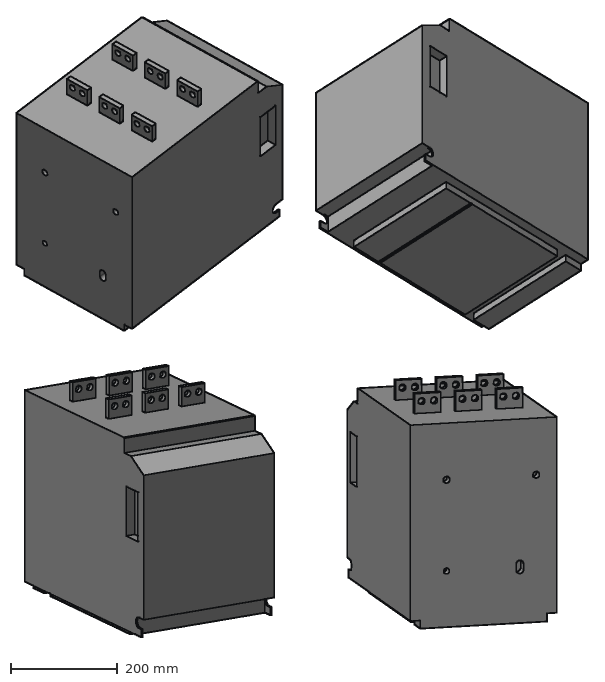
import cadquery as cq


width = 285.0
depth = 435.0
body_bottom = 15.5
body_top = 390.0

slope_bottom = 334.5
slope_end = 388.5
shelf_height = 360.0
step_wall = 364.5
bevel_run = 2.5
bevel_rise = 1.5

notch_radius = 10.5
notch_height = 41.8
notch_centre = 416.7
lip_end = 426.0
side_plate_thickness = 3.5

foot_inset = 19.0
foot_width = width - 2 * foot_inset
front_foot_end = 40.0
rear_foot_start = 62.0
rear_foot_end = 353.5

groove_centre = 286.5
groove_width = 4.0
groove_depth = 1.5

tab_top = 428.0
tab_width = 50.5
tab_thickness = 10.5
tab_pitch = 79.5
tab_row_fronts = (102.2, 233.5)
tab_hole_diameter = 12.5
tab_hole_pitch = 24.5
tab_hole_height = 413.2

mount_depth = 20.0
mount_left = -72.0
mount_right = 102.2
mount_low = 107.5
mount_high = 282.0
upper_hole_diameter = 12.5
lower_hole_diameter = 11.0
mount_slot_x = 70.5
mount_slot_width = 14.5
mount_slot_height = 25.2

pocket_front = 370.5
pocket_length = 43.5
pocket_bottom = 199.5
pocket_height = 96.5
pocket_depth = 19.0


def block(size_x, y_start, y_end, z_start, z_end):
    """Box centred on X = 0 between the given Y and Z limits."""
    size_y = y_end - y_start
    size_z = z_end - z_start
    return (
        cq.Workplane("XY")
        .box(size_x, size_y, size_z, centered=(True, False, False))
        .translate((0, y_start, z_start))
    )


def front_plane(y=0.0):
    """Sketch plane facing -Y at the given Y; negative extrusions run towards +Y."""
    return cq.Workplane(cq.Plane(origin=(0, y, 0), xDir=(1, 0, 0), normal=(0, -1, 0)))


def make_housing():
    """Side profile in Y and Z, extruded over the full width."""
    notch_low = notch_height - notch_radius
    notch_high = notch_height + notch_radius
    return (
        cq.Workplane("YZ")
        .moveTo(0, body_bottom)
        .lineTo(lip_end, body_bottom)
        .lineTo(lip_end, notch_low)
        .lineTo(notch_centre, notch_low)
        .threePointArc((notch_centre - notch_radius, notch_height), (notch_centre, notch_high))
        .lineTo(depth, notch_high)
        .lineTo(depth, slope_bottom)
        .lineTo(slope_end, shelf_height)
        .lineTo(step_wall, shelf_height)
        .lineTo(step_wall, body_top - bevel_rise)
        .lineTo(step_wall - bevel_run, body_top)
        .lineTo(0, body_top)
        .close()
        .extrude(width / 2, both=True)
    )


def make_rear_recess():
    """Space behind the open slots that leaves only a thin plate at each side."""
    recess_width = width - 2 * side_plate_thickness
    recess_front = notch_centre - notch_radius
    return block(recess_width, recess_front, depth, body_bottom, notch_height + notch_radius)


def make_groove():
    """Groove volume running across the full width of the rear foot."""
    groove_start = groove_centre - groove_width / 2
    return block(foot_width, groove_start, groove_start + groove_width, 0, groove_depth)


def make_tab(x, y_front):
    """Upright terminal tab with two holes through its thickness."""
    tab = block(tab_width, y_front, y_front + tab_thickness, body_top, tab_top)
    holes = (
        front_plane(y_front)
        .pushPoints([(side * tab_hole_pitch / 2, tab_hole_height) for side in (-1, 1)])
        .circle(tab_hole_diameter / 2)
        .extrude(-tab_thickness)
    )
    return tab.cut(holes).translate((x, 0, 0))


def make_mounting_cuts():
    """Three round holes and one upright slot, all blind from the front face."""
    upper_holes = (
        front_plane()
        .pushPoints([(mount_left, mount_high), (mount_right, mount_high)])
        .circle(upper_hole_diameter / 2)
        .extrude(-mount_depth)
    )
    lower_hole = (
        front_plane()
        .center(mount_left, mount_low)
        .circle(lower_hole_diameter / 2)
        .extrude(-mount_depth)
    )
    slot = (
        front_plane()
        .center(mount_slot_x, mount_low)
        .slot2D(mount_slot_height, mount_slot_width, 90)
        .extrude(-mount_depth)
    )
    return upper_holes.add(lower_hole).add(slot).combine()


def make_pocket(side):
    """Pocket volume for the left (-1) or right (+1) side."""
    pocket_end = pocket_front + pocket_length
    pocket_top = pocket_bottom + pocket_height
    pocket = block(pocket_depth, pocket_front, pocket_end, pocket_bottom, pocket_top)
    return pocket.translate((side * (width - pocket_depth) / 2, 0, 0))


result = make_housing().cut(make_rear_recess())

for foot_start, foot_end in ((0, front_foot_end), (rear_foot_start, rear_foot_end)):
    result = result.union(block(foot_width, foot_start, foot_end, 0, body_bottom))
result = result.cut(make_groove())

for row_front in tab_row_fronts:
    for column in (-1, 0, 1):
        result = result.union(make_tab(column * tab_pitch, row_front))

result = result.cut(make_mounting_cuts())

for pocket_side in (-1, 1):
    result = result.cut(make_pocket(pocket_side))